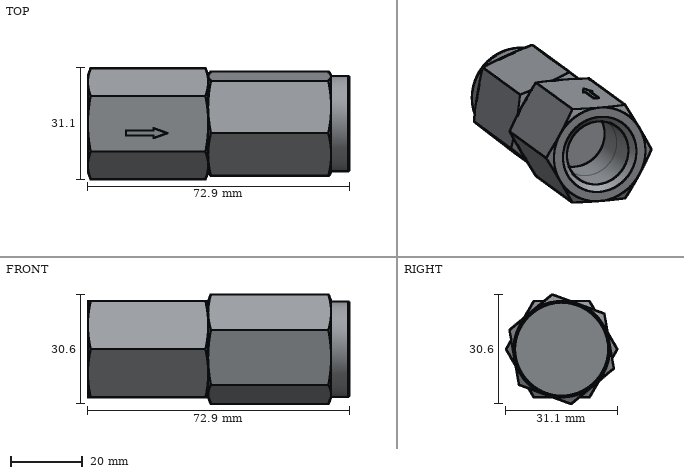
import cadquery as cq
import math

LENGTH = 72.9
INLET_LENGTH = 33.5
HEX_END = 67.8

HEX_CORNERS = 31.05
HEX_FLATS = HEX_CORNERS * math.cos(math.radians(30))
OUTLET_TURN = 39.8
CORNER_ANGLE = 20.0

COLLAR_DIAMETER = 26.7
COLLAR_CHAMFER = 0.4

MOUTH_DIAMETER = 21.6
THREAD_DIAMETER = 18.1
BORE_DIAMETER = 17.6
LEAD_IN_DEPTH = 1.75
THREAD_END = 11.3
PORT_DEPTH = 21.9

ARROW_START = 10.6
ARROW_HEAD_START = 18.3
ARROW_TIP = 22.15
ARROW_Y = -2.6
SHAFT_WIDTH = 1.45
HEAD_WIDTH = 2.8
ARROW_DEPTH = 0.1


def revolve_about_x(profile):
    """Solid of revolution from (x, radius) points."""
    return cq.Workplane("XY").polyline(profile).close().revolve(360, (0, 0, 0), (1, 0, 0))


def turned_hex(start, end, turn):
    """Hexagonal bar along X whose corners are turned off conically at both ends."""
    bar = (
        cq.Workplane("YZ", origin=(start, 0, 0))
        .polygon(6, HEX_CORNERS)
        .extrude(end - start)
        .rotate((0, 0, 0), (1, 0, 0), turn)
    )
    flat_radius = HEX_FLATS / 2
    corner_radius = HEX_CORNERS / 2
    setback = (corner_radius - flat_radius) * math.tan(math.radians(CORNER_ANGLE))
    envelope = revolve_about_x([
        (start, 0),
        (start, flat_radius),
        (start + setback, corner_radius),
        (end - setback, corner_radius),
        (end, flat_radius),
        (end, 0),
    ])
    return bar.intersect(envelope)


def inlet_port():
    """Stepped cavity that opens at the -X end."""
    return revolve_about_x([
        (0, 0),
        (0, MOUTH_DIAMETER / 2),
        (LEAD_IN_DEPTH, THREAD_DIAMETER / 2),
        (THREAD_END, BORE_DIAMETER / 2),
        (PORT_DEPTH, BORE_DIAMETER / 2),
        (PORT_DEPTH, 0),
    ])


def flow_arrow():
    """Shallow arrow pointing along +X, sunk into the top flat."""
    return (
        cq.Workplane("XY", origin=(0, ARROW_Y, HEX_FLATS / 2))
        .polyline([
            (ARROW_START, -SHAFT_WIDTH / 2),
            (ARROW_HEAD_START, -SHAFT_WIDTH / 2),
            (ARROW_HEAD_START, -HEAD_WIDTH / 2),
            (ARROW_TIP, 0),
            (ARROW_HEAD_START, HEAD_WIDTH / 2),
            (ARROW_HEAD_START, SHAFT_WIDTH / 2),
            (ARROW_START, SHAFT_WIDTH / 2),
        ])
        .close()
        .extrude(-ARROW_DEPTH)
    )


def make_inlet_body():
    return turned_hex(0, INLET_LENGTH, 0).cut(inlet_port()).cut(flow_arrow())


def make_outlet_body():
    collar = (
        cq.Workplane("YZ", origin=(HEX_END, 0, 0))
        .circle(COLLAR_DIAMETER / 2)
        .extrude(LENGTH - HEX_END)
        .faces(">X")
        .chamfer(COLLAR_CHAMFER)
    )
    return turned_hex(INLET_LENGTH, HEX_END, OUTLET_TURN).union(collar)


inlet_body = make_inlet_body()
outlet_body = make_outlet_body()

result = cq.Compound.makeCompound([inlet_body.val(), outlet_body.val()])